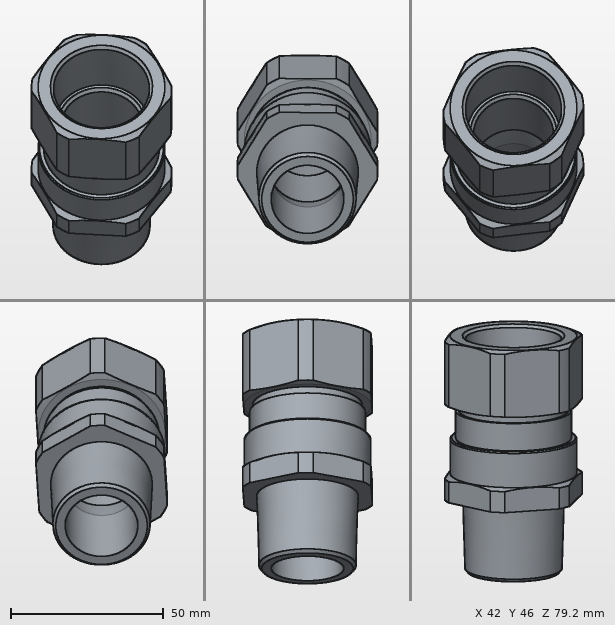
import cadquery as cq
import math

tip_chamfer_z = 1.1
hex_bottom = 25.1
hex_top = 33.05
collar_top = 45.0
sleeve_top = 54.2
nut_bottom = 56.75
total_height = 79.25

across_flats = 42.0
across_corners = 46.0
hex_crown_radius = 20.8
crown_height = 0.9
nut_underside_crown = 0.55

tip_radius = 15.0
thread_small_radius = 15.9
thread_large_radius = 16.65
collar_radius = 20.8
collar_chamfer = 0.5
sleeve_radius = 19.0
neck_radius = 18.0

bore_radius = 11.9
swivel_bore_radius = 13.15
swivel_bore_chamfer = 1.0
socket_mouth_radius = 16.7
socket_top_radius = 15.7
socket_floor_radius = 15.2
mouth_depth = 0.95
socket_depth = 20.4
socket_floor = total_height - socket_depth
swivel_seat = hex_top
funnel_depth = 7.9


def revolve_profile(points):
    """Turn a closed (radius, height) outline about the Z axis."""
    return cq.Workplane("XZ").polyline(points).close().revolve(360, (0, 0, 0), (0, 1, 0))


def rounded_hexagon(bottom, top, bottom_crown, top_crown):
    """Hexagon with flats facing X, turned-down corners and crowned ends."""
    corner_radius = across_corners / 2
    point_diameter = across_flats / math.cos(math.pi / 6)
    hexagon = (
        cq.Workplane("XY").workplane(offset=bottom)
        .polygon(6, point_diameter).extrude(top - bottom)
        .rotate((0, 0, 0), (0, 0, 1), 30)
    )
    envelope = [(0, bottom)]
    if bottom_crown:
        envelope += [(hex_crown_radius, bottom), (corner_radius, bottom + bottom_crown)]
    else:
        envelope.append((corner_radius, bottom))
    envelope += [(corner_radius, top - top_crown), (hex_crown_radius, top), (0, top)]
    return hexagon.intersect(revolve_profile(envelope))


def make_adapter():
    """Tapered male end, hexagon and collar, with a recess for the swivel sleeve."""
    tapered_end = revolve_profile([
        (0, 0),
        (tip_radius, 0),
        (thread_small_radius, tip_chamfer_z),
        (thread_large_radius, hex_bottom),
        (0, hex_bottom),
    ])
    collar = (
        cq.Workplane("XY").workplane(offset=hex_top)
        .circle(collar_radius).extrude(collar_top - hex_top)
        .faces(">Z").edges().chamfer(collar_chamfer)
    )
    bore = revolve_profile([
        (0, 0),
        (bore_radius, 0),
        (bore_radius, swivel_seat - funnel_depth),
        (swivel_bore_radius, swivel_seat),
        (sleeve_radius, swivel_seat),
        (sleeve_radius, collar_top),
        (0, collar_top),
    ])
    hexagon = rounded_hexagon(hex_bottom, hex_top, 0, crown_height)
    return tapered_end.union(hexagon).union(collar).cut(bore)


def make_swivel_nut():
    """Hexagonal socket nut whose neck and sleeve turn inside the adapter."""
    sleeve = (
        cq.Workplane("XY").workplane(offset=swivel_seat)
        .circle(sleeve_radius).extrude(sleeve_top - swivel_seat)
    )
    neck = (
        cq.Workplane("XY").workplane(offset=sleeve_top)
        .circle(neck_radius).extrude(nut_bottom - sleeve_top)
    )
    socket = revolve_profile([
        (0, swivel_seat),
        (swivel_bore_radius, swivel_seat),
        (swivel_bore_radius, socket_floor - swivel_bore_chamfer),
        (swivel_bore_radius + swivel_bore_chamfer, socket_floor),
        (socket_floor_radius, socket_floor),
        (socket_top_radius, total_height - mouth_depth),
        (socket_mouth_radius, total_height),
        (0, total_height),
    ])
    nut = rounded_hexagon(nut_bottom, total_height, nut_underside_crown, crown_height)
    return nut.union(neck).union(sleeve).cut(socket)


adapter = make_adapter()
swivel_nut = make_swivel_nut()
result = cq.Compound.makeCompound([adapter.val(), swivel_nut.val()])